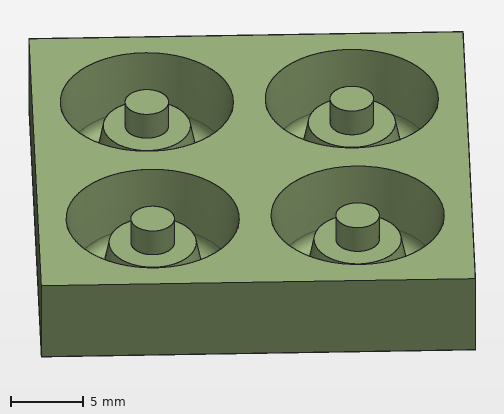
import cadquery as cq
import math

diagonal = 42.45
side = diagonal / math.sqrt(2)
thickness = 6.0

well_offset = 10.0
rim_radius = 6.0
pin_radius = 3.0 / 2
hub_radius = 3.0
hub_top = 4.0
groove_inner_radius = 3.52
groove_outer_radius = 5.47
groove_edge_height = 1.5
groove_radius = (groove_outer_radius - groove_inner_radius) / 2
groove_center = (groove_outer_radius + groove_inner_radius) / 2
groove_bottom = groove_edge_height - groove_radius


def well_cutter():
    """Ring of removed material: tapered walls, round floor, stepped centre pin."""
    return (
        cq.Workplane("XZ")
        .moveTo(pin_radius, thickness)
        .lineTo(pin_radius, hub_top)
        .lineTo(hub_radius, hub_top)
        .lineTo(groove_inner_radius, groove_edge_height)
        .threePointArc((groove_center, groove_bottom), (groove_outer_radius, groove_edge_height))
        .lineTo(rim_radius, thickness)
        .close()
        .revolve(360, (0, 0, 0), (0, 1, 0))
    )


result = (
    cq.Workplane("XY")
    .rect(side, side)
    .extrude(thickness)
    .rotate((0, 0, 0), (0, 0, 1), 45)
)

cutter = well_cutter()
for x_direction, y_direction in [(1, 0), (0, 1), (-1, 0), (0, -1)]:
    result = result.cut(cutter.translate((x_direction * well_offset, y_direction * well_offset, 0)))